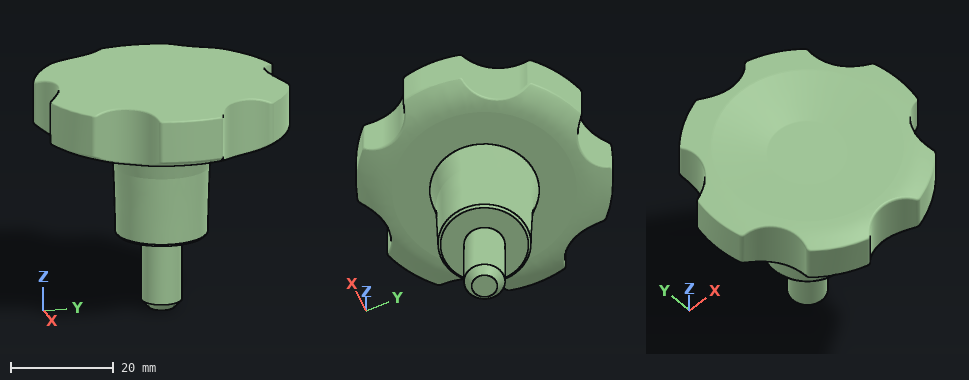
import cadquery as cq
import math

hub_height = 19.94
head_thickness = 12.06
head_top = hub_height + head_thickness
stud_length = 15.0

dish_radius = 18.65
dish_floor_radius = 7.9
dish_depth = 2.5
dish_fillet = 1.2

head_radius = 25.0
crown_start_radius = dish_radius
crown_drop = 1.4
underside_start_radius = 18.0
underside_rise = 2.2

flute_count = 6
flute_radius = 8.3
flute_floor_distance = 20.9
corner_fillet = 1.0
rim_fillet = 0.5

hub_base_radius = 9.05
hub_waist_radius = 9.45
hub_waist_height = 13.95
hub_top_radius = 10.65
hub_chamfer = 0.5

stud_radius = 4.0
stud_tip_radius = 2.5
stud_tip_length = 1.6


def revolve_profile(profile):
    """Turn a closed half profile about the Z axis."""
    return profile.close().revolve(360, (0, 0, 0), (0, 1, 0))


def crown_midpoint(start_radius, drop):
    """Radius and fall halfway along an arc that starts level and ends at the rim."""
    run = head_radius - start_radius
    arc_radius = (run**2 + drop**2) / (2 * drop)
    half_angle = math.asin(run / arc_radius) / 2
    return start_radius + arc_radius * math.sin(half_angle), arc_radius * (1 - math.cos(half_angle))


def make_head_blank():
    """Disc with a crowned top edge and a crowned lower edge."""
    top_mid_radius, top_mid_drop = crown_midpoint(crown_start_radius, crown_drop)
    low_mid_radius, low_mid_rise = crown_midpoint(underside_start_radius, underside_rise)
    profile = (
        cq.Workplane("XZ")
        .moveTo(0, hub_height)
        .lineTo(underside_start_radius, hub_height)
        .threePointArc(
            (low_mid_radius, hub_height + low_mid_rise),
            (head_radius, hub_height + underside_rise),
        )
        .lineTo(head_radius, head_top - crown_drop)
        .threePointArc(
            (top_mid_radius, head_top - top_mid_drop),
            (crown_start_radius, head_top),
        )
        .lineTo(0, head_top)
    )
    return revolve_profile(profile)


def cut_flutes(head):
    """Scallop the rim, with one flute facing +Y and one facing -Y."""
    flutes = (
        cq.Workplane("XY", origin=(0, 0, hub_height))
        .polarArray(flute_floor_distance + flute_radius, 90, 360, flute_count)
        .circle(flute_radius)
        .extrude(head_thickness)
    )
    return head.cut(flutes)


def round_rim(head):
    """Round the upright flute corners, then the upper and lower outlines of the rim."""
    head = head.edges("|Z").fillet(corner_fillet)
    walls = head.faces("%CYLINDER")
    outline = walls.edges("not |Z")
    return outline.fillet(rim_fillet)


def cut_dish(head):
    """Sink a conical dish with a flat round floor and soften both of its edges."""
    floor_height = head_top - dish_depth
    profile = (
        cq.Workplane("XZ")
        .moveTo(0, floor_height)
        .lineTo(dish_floor_radius, floor_height)
        .lineTo(dish_radius, head_top)
        .lineTo(0, head_top)
    )
    head = head.cut(revolve_profile(profile))
    cone = head.faces("%CONE")
    return cone.edges("%CIRCLE").fillet(dish_fillet)


def make_hub():
    """Tapered hub with a chamfered foot and a steeper cone below the head."""
    profile = (
        cq.Workplane("XZ")
        .lineTo(hub_base_radius - hub_chamfer, 0)
        .lineTo(hub_base_radius, hub_chamfer)
        .lineTo(hub_waist_radius, hub_waist_height)
        .lineTo(hub_top_radius, hub_height)
        .lineTo(0, hub_height)
    )
    return revolve_profile(profile)


def make_stud():
    """Plain round stud with a tapered tip."""
    profile = (
        cq.Workplane("XZ")
        .lineTo(stud_radius, 0)
        .lineTo(stud_radius, stud_tip_length - stud_length)
        .lineTo(stud_tip_radius, -stud_length)
        .lineTo(0, -stud_length)
    )
    return revolve_profile(profile)


head = cut_dish(round_rim(cut_flutes(make_head_blank())))
result = head.union(make_hub()).union(make_stud())